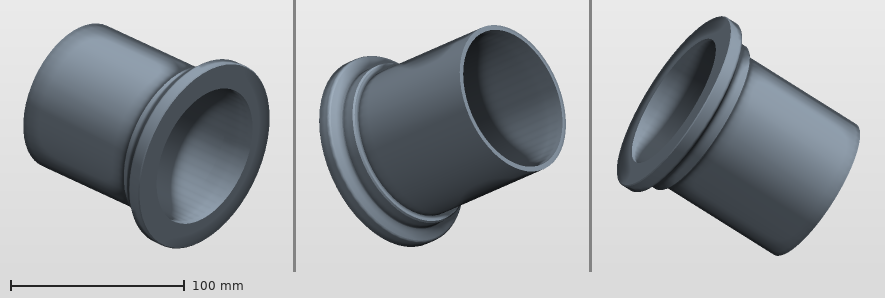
import cadquery as cq

total_length = 100.0
bore_diameter = 83
tube_diameter = 88.9
collar_diameter = 97.0
flange_diameter = 113.8

collar_start = 80.1
collar_edge_break = 0.9
cone_start = 89.0
cone_end = 92.0
neck_fillet = 1.0
rim_round = 2.0
face_edge_break = 0.6

bore_radius = bore_diameter / 2
tube_radius = tube_diameter / 2
collar_radius = collar_diameter / 2
flange_radius = flange_diameter / 2


def edge_at(x, radius):
    """Select the circular edge at one corner of the turned profile."""
    margin = 0.1
    reach = radius + margin
    return cq.selectors.BoxSelector(
        (x - margin, -reach, -reach), (x + margin, reach, reach), boundingbox=True
    )


def make_tube():
    """Plain tube that butts against the ferrule's shoulder."""
    return cq.Workplane("YZ").circle(tube_radius).circle(bore_radius).extrude(collar_start)


def make_ferrule():
    """Turned ring with a collar, a conical back and a flange rim."""
    profile = [
        (collar_start, bore_radius),
        (collar_start, collar_radius),
        (cone_start, collar_radius),
        (cone_end, flange_radius),
        (total_length, flange_radius),
        (total_length, bore_radius),
    ]
    ring = cq.Workplane("XY").polyline(profile).close().revolve(360, (0, 0), (1, 0))
    ring = ring.edges(edge_at(cone_start, collar_radius)).fillet(neck_fillet)
    ring = ring.edges(edge_at(cone_end, flange_radius)).fillet(rim_round)
    ring = ring.faces("<X").edges(cq.selectors.RadiusNthSelector(-1)).chamfer(collar_edge_break)
    return ring.faces(">X").edges(cq.selectors.RadiusNthSelector(-1)).chamfer(face_edge_break)


tube = make_tube()
ferrule = make_ferrule()

result = cq.Compound.makeCompound([tube.val(), ferrule.val()])